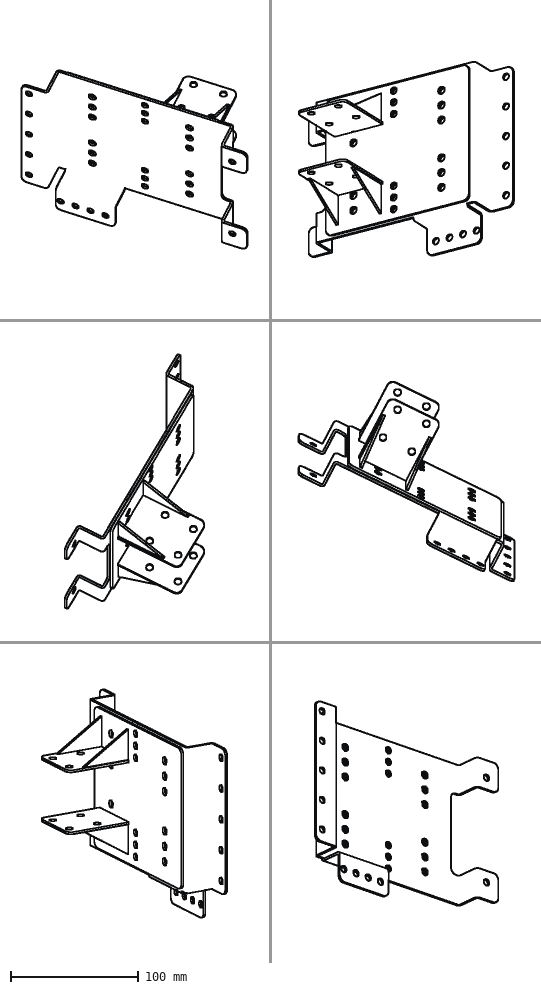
import cadquery as cq

sheet = 1.9
bend_inner = 0.8
bend_outer = bend_inner + sheet
corner_radius = 5.0
strip_overlap = bend_outer
pitch = 25.4
half_pitch = pitch / 2

web_width = 150.0
web_height = 120.0
left_foot_depth = 25.39
right_foot_depth = 23.7
foot_reach = 20.29
notch_height = 70.0
notch_left = 65.0

foot_hole_dia = 5.5
left_foot_hole_x = -3.5 * pitch
left_foot_hole_count = 5
right_foot_hole_x = 83.0
right_foot_hole_spacing = 90.0
pattern_z = 1.2

flange_left = -67.6
flange_width = 50.5
flange_depth = 21.9
flange_drop = 26.14
flange_hole_dia = 5.5
flange_hole_count = 4
flange_first_hole_x = -5 * half_pitch
flange_hole_drop = 15.1

row_count = 3
centre_hole_dia = 5.5
centre_hole_pitch = 10.0
centre_hole_outer = 2 * pitch
side_hole_dia = 6.1
side_hole_spacing_x = 82.6
side_hole_middle_z = 28.9

plate_x = -3.45
plate_width = 134.0
plate_height = 116.0
shelf_width = 45.0
shelf_left = 10.2
shelf_length = 55.1
shelf_gap = 49.1
shelf_z = 0.9
shelf_hole_dia = 5.5
shelf_hole_inset_x = (shelf_width - pitch) / 2
shelf_hole_inset_y = 6.4

gusset_length = 40.2
gusset_height = 25.0
gusset_inset = 1.3


def round_holes(points, diameter):
    """Cutters along Y, long enough to pass through every upright sheet."""
    reach = 2 * left_foot_depth
    rear_plane = cq.Workplane("XZ", origin=(0, reach, 0))
    return rear_plane.pushPoints(points).circle(diameter / 2).extrude(2 * reach)


def block(x_min, x_max, y_min, y_max, z_min, z_max):
    """Box given by its limits along each axis."""
    size = (x_max - x_min, y_max - y_min, z_max - z_min)
    return cq.Workplane("XY").box(*size, centered=False).translate((x_min, y_min, z_min))


def bent_strip(reach, depth, length):
    """Z-bent strip, extruded along Z from 0.

    It starts in the web, turns forward along the outer face X = 0, then turns outward to X = reach
    with its front face at Y = -depth. The bends are rounded inside and out.
    """
    outline = [
        (0, 0),
        (0, sheet - depth),
        (reach, sheet - depth),
        (reach, -depth),
        (-sheet, -depth),
        (-sheet, -sheet),
        (-bend_outer - strip_overlap, -sheet),
        (-bend_outer - strip_overlap, 0),
    ]
    outer_bends = [(0, 0), (-sheet, -depth)]
    inner_bends = [(-sheet, -sheet), (0, sheet - depth)]
    strip = cq.Workplane("XY").polyline(outline).close().extrude(length)
    for bends, radius in ((outer_bends, bend_outer), (inner_bends, bend_inner)):
        for x, y in bends:
            corner = cq.selectors.NearestToPointSelector((x, y, length / 2))
            strip = strip.edges(corner).fillet(radius)
    return strip


def rounded_foot(strip):
    """Rounds the two free corners at the outward end of a bent strip."""
    return strip.faces(">X").edges("|Y").fillet(corner_radius)


def make_main_sheet():
    """Web, feet and flange joined into one bent sheet, with all its holes."""
    half_width = web_width / 2
    half_height = web_height / 2
    tab_height = (web_height - notch_height) / 2

    web = block(-half_width + bend_outer, half_width - bend_outer, -sheet, 0, -half_height, half_height)
    notch = block(notch_left, half_width, -sheet, 0, -notch_height / 2, notch_height / 2)
    web = web.cut(notch.edges("|Y and <X").fillet(corner_radius))

    left_foot = rounded_foot(bent_strip(foot_reach, left_foot_depth, web_height))
    left_foot = left_foot.mirror("YZ").translate((-half_width, 0, -half_height))
    body = web.union(left_foot)

    right_foot = rounded_foot(bent_strip(foot_reach, right_foot_depth, tab_height))
    for z in (-half_height, notch_height / 2):
        body = body.union(right_foot.translate((half_width, 0, z)))

    flange = rounded_foot(bent_strip(flange_drop - bend_outer, flange_depth, flange_width))
    flange = flange.rotate((0, 0, 0), (0, 1, 0), 90)
    body = body.union(flange.translate((flange_left, 0, -half_height - bend_outer)))

    left_holes = [
        (left_foot_hole_x, pattern_z + (i - (left_foot_hole_count - 1) / 2) * pitch)
        for i in range(left_foot_hole_count)
    ]
    right_holes = [(right_foot_hole_x, side * right_foot_hole_spacing / 2) for side in (-1, 1)]
    flange_hole_z = -half_height - flange_hole_drop
    flange_holes = [(flange_first_hole_x + i * half_pitch, flange_hole_z) for i in range(flange_hole_count)]
    body = body.cut(round_holes(left_holes + right_holes, foot_hole_dia))
    body = body.cut(round_holes(flange_holes, flange_hole_dia))
    return cut_mounting_holes(body)


def cut_mounting_holes(body):
    """Upright rows of holes that run through the web and the back plate."""
    centre_holes = []
    side_holes = []
    for side in (-1, 1):
        for i in range(row_count):
            centre_holes.append((0, pattern_z + side * (centre_hole_outer - i * centre_hole_pitch)))
            z = side * (side_hole_middle_z + (i - (row_count - 1) / 2) * half_pitch)
            for end in (-1, 1):
                side_holes.append((plate_x + end * side_hole_spacing_x / 2, z))
    return body.cut(round_holes(centre_holes, centre_hole_dia)).cut(round_holes(side_holes, side_hole_dia))


def make_shelf():
    """Horizontal shelf resting on z = 0, its front edge on the back plate's rear face."""
    rear = sheet + shelf_length
    shelf = block(shelf_left, shelf_left + shelf_width, sheet, rear, 0, sheet)
    shelf = shelf.edges("|Z and >Y").fillet(corner_radius)
    hole_xs = (shelf_left + shelf_hole_inset_x, shelf_left + shelf_width - shelf_hole_inset_x)
    hole_ys = (rear - shelf_hole_inset_y, rear - shelf_hole_inset_y - pitch)
    points = [(x, y) for x in hole_xs for y in hole_ys]
    return shelf.cut(cq.Workplane("XY").pushPoints(points).circle(shelf_hole_dia / 2).extrude(sheet))


def make_shelf_carrier():
    """Back plate lying against the web, with its two shelves."""
    half_height = plate_height / 2
    plate = block(plate_x - plate_width / 2, plate_x + plate_width / 2, 0, sheet, -half_height, half_height)
    body = cut_mounting_holes(plate.edges("|Y").fillet(corner_radius))
    shelf = make_shelf()
    for z in (shelf_z + shelf_gap / 2, shelf_z - shelf_gap / 2 - sheet):
        body = body.union(shelf.translate((0, 0, z)))
    return body


def make_gusset(x, side):
    """Triangle between plate and shelf: side 1 stands on the upper shelf, -1 hangs below the lower."""
    base_z = shelf_z + side * (shelf_gap / 2 + sheet)
    corners = [(sheet, base_z), (sheet + gusset_length, base_z), (sheet, base_z + side * gusset_height)]
    return cq.Workplane("YZ", origin=(x, 0, 0)).polyline(corners).close().extrude(sheet)


main_sheet = make_main_sheet()
shelf_carrier = make_shelf_carrier()
gusset_xs = (shelf_left + gusset_inset, shelf_left + shelf_width - gusset_inset - sheet)
gussets = [make_gusset(x, side) for x in gusset_xs for side in (-1, 1)]

result = cq.Compound.makeCompound([
    main_sheet.val(),
    shelf_carrier.val(),
    *[gusset.val() for gusset in gussets],
])